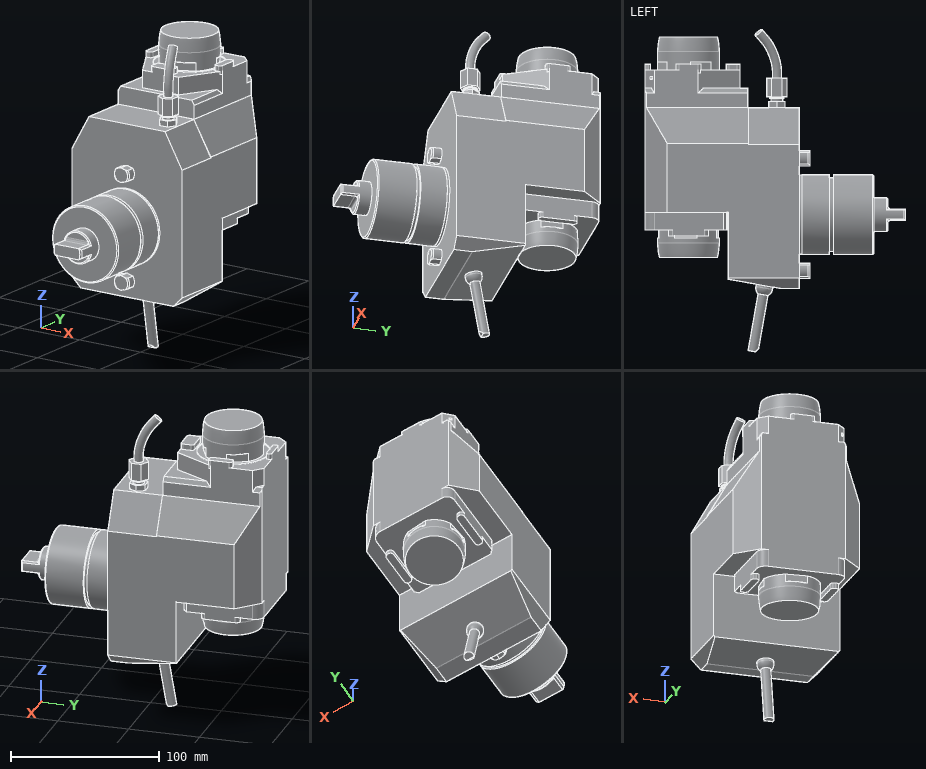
import cadquery as cq
import math


BODY_WIDTH = 90.0
BODY_LENGTH = 104.1
BODY_TOP = 72.2
ROOF_WIDTH = 62.2
BODY_SHOULDER = 48.0
BACK_CHAMFER = 15.0
PLATE_THICKNESS = 34.4
PLATE_SHOULDER = 47.5
PLATE_BOTTOM = -49.8
BOTTOM_CHAMFER = 7.2
STEP_Y = 48.0
STEP_Z = 1.5
TAPER_START_Y = 12.8
TAPER_ANGLE = 10

HEAD_Y = 74.8
SLAB_FRONT = 34.8
SLAB_TOP = 85.2
SLAB_BEVEL_WIDTH = 2.0
SLAB_BEVEL_HEIGHT = 3.3
BOSS_TOP = 97.6
BOSS_FRONT = 40.0
BOSS_FRONT_WIDTH = 29.5
BOSS_BACK_CHAMFER = 6.3
SEAT_DIA = 49.4
SEAT_DEPTH = 0.7
KEY_HEIGHT = 4.0
KEY_INNER = 25.5
KEY_WIDTH = 16.7
KEY_FILLET = 2.0
BACK_KEY_FILLET = 1.5
PORT_DIA = 2.2
PORT_DEPTH = 2.2
PORT_Z = 92.2
PORT_FROM_BACK = 4.1
COLLAR_DIA = 42.0
COLLAR_TIP_DIA = 39.1
COLLAR_TIP_LENGTH = 9.8
WRENCH_FLAT = 19.5
WRENCH_FLAT_HEIGHT = 5.2
UPPER_COLLAR_LENGTH = 22.2
UPPER_FLAT_ANGLE = 25
LOWER_BOTTOM = -10.5
LOWER_FRONT = 49.0
LOWER_FILLET = 6.3
LOWER_CHAMFER = 2.5
LOWER_KEY_WIDTH = 27.0
LOWER_KEY_FILLET = 2.6
LOWER_COLLAR_LENGTH = 18.5
LOWER_FLAT_ANGLE = 5

SPINDLE_DIA = 54.0
SPINDLE_LENGTH = 50.2
SPINDLE_NECK_DIA = 53.7
SPINDLE_NECK_LENGTH = 1.7
SPINDLE_CHAMFER = 0.9
GROOVE_DIA = 50.0
GROOVE_START = 20.2
GROOVE_WIDTH = 2.6
SHAFT_DIA = 23.0
SHAFT_END = 59.5
SHAFT_CHAMFER = 0.9
TANG_END = 71.5
TANG_THICKNESS = 7.8
TANG_CHAMFER = 1.0
TANG_SIDE_INSET = 2.2
TANG_ROOT_RADIUS = 2.0

STUD_DIA = 12.2
STUD_LENGTH = 7.2
STUD_SPACING = 37.95
STUD_RIDGE = 5.2
STUD_FACET_SLOPE = 0.29
STUD_CHAMFER_LENGTH = 1.3
STUD_CHAMFER_DEPTH = 0.7

HOSE_X = 23.3
HOSE_Y = 15.2
HOSE_DIA = 6.3
BASE_NUT_FLATS = 11.0
BASE_NUT_HEIGHT = 4.1
NECK_DIA = 8.0
RING_DIA = 9.8
RING_Z = 78.3
RING_HEIGHT = 0.7
TOP_NUT_FLATS = 12.0
TOP_NUT_BOTTOM = 79.4
TOP_NUT_TOP = 92.0
HOSE_STRAIGHT = 5.9
HOSE_BEND_RADIUS = 27.0
HOSE_BEND_ANGLE = 42
HOSE_TAIL = 9.3
HOSE_HEADING = 20

CABLE_Y = 23.5
CABLE_DIA = 7.0
CABLE_LENGTH = 45.0
CABLE_CUT = 1.7
CABLE_CUT_HEIGHT = 2.6
GLAND_DIA = 11.5
GLAND_DROP = 1.5

EMBED = 2.2


def box(x_range, y_range, z_range):
    size = [high - low for low, high in (x_range, y_range, z_range)]
    corner = (x_range[0], y_range[0], z_range[0])
    return cq.Workplane("XY").box(*size, centered=False).translate(corner)


def mirrored_outline(right_half):
    """Outline closed from its right half, listed from bottom to top."""
    return right_half + [(-x, y) for x, y in reversed(right_half)]


def taper_z(y):
    """Height of the tapered underside at depth y."""
    return PLATE_BOTTOM + (y - TAPER_START_Y) * math.tan(math.radians(TAPER_ANGLE))


def house_shape(shoulder, y_start, y_end):
    half = BODY_WIDTH / 2
    outline = mirrored_outline([
        (half - BOTTOM_CHAMFER, PLATE_BOTTOM),
        (half, PLATE_BOTTOM + BOTTOM_CHAMFER),
        (half, shoulder),
        (ROOF_WIDTH / 2, BODY_TOP),
    ])
    prism = cq.Workplane("XZ").polyline(outline).close().extrude(y_start - y_end)
    return prism.translate((0, y_start, 0))


def back_corner_profile(z_low, z_high):
    """Plan of the housing with its chamfered back corners."""
    half = BODY_WIDTH / 2
    outline = mirrored_outline([
        (half, 0),
        (half, BODY_LENGTH - BACK_CHAMFER),
        (half - BACK_CHAMFER, BODY_LENGTH),
    ])
    return cq.Workplane("XY").workplane(offset=z_low).polyline(outline).close().extrude(z_high - z_low)


def housing():
    plate = house_shape(PLATE_SHOULDER, 0, PLATE_THICKNESS)
    block = house_shape(BODY_SHOULDER, PLATE_THICKNESS, BODY_LENGTH)
    profile = back_corner_profile(PLATE_BOTTOM, BODY_TOP)
    side = [
        (0, BODY_TOP),
        (0, PLATE_BOTTOM),
        (TAPER_START_Y, PLATE_BOTTOM),
        (STEP_Y, taper_z(STEP_Y)),
        (STEP_Y, STEP_Z),
        (BODY_LENGTH, STEP_Z),
        (BODY_LENGTH, BODY_TOP),
    ]
    side_prism = cq.Workplane("YZ").polyline(side).close().extrude(BODY_WIDTH / 2, both=True)
    return plate.union(block).intersect(profile).intersect(side_prism)


def key(x_range, y_range, z_range, fillet):
    """Locating key with rounded upright edges."""
    return box(x_range, y_range, z_range).edges("|Z").fillet(fillet)


def side_keys(width, z_range, fillet):
    """Pair of keys left and right of the collar, flush with the head's sides."""
    y_range = (HEAD_Y - width / 2, HEAD_Y + width / 2)
    left = key((-ROOF_WIDTH / 2, -KEY_INNER), y_range, z_range, fillet)
    return left.union(left.mirror("YZ"))


def collar(length, flat_angle):
    """Collar on +Z with a curved tip and four wrench flats at its base."""
    radius = COLLAR_DIA / 2
    tip_radius = COLLAR_TIP_DIA / 2
    tip_start = length - COLLAR_TIP_LENGTH
    bulge = (radius - tip_radius) / 4
    body = (
        cq.Workplane("XZ")
        .moveTo(0, -EMBED)
        .lineTo(radius, -EMBED)
        .lineTo(radius, tip_start)
        .threePointArc((radius - bulge, tip_start + COLLAR_TIP_LENGTH / 2), (tip_radius, length))
        .lineTo(0, length)
        .close()
        .revolve(360, (0, 0, 0), (0, 1, 0))
    )
    for quarter in range(4):
        cutter = box((WRENCH_FLAT, COLLAR_DIA), (-radius, radius), (-EMBED, WRENCH_FLAT_HEIGHT))
        body = body.cut(cutter.rotate((0, 0, 0), (0, 0, 1), flat_angle + 90 * quarter))
    return body


def upper_head():
    half = ROOF_WIDTH / 2
    slab = (
        box((-half, half), (SLAB_FRONT, BODY_LENGTH), (BODY_TOP - EMBED, SLAB_TOP))
        .intersect(back_corner_profile(BODY_TOP - EMBED, SLAB_TOP))
    )
    bevel_base = SLAB_TOP - SLAB_BEVEL_HEIGHT
    bevel = mirrored_outline([
        (half, BODY_TOP - EMBED),
        (half, bevel_base),
        (half - SLAB_BEVEL_WIDTH, SLAB_TOP),
    ])
    slab = slab.intersect(cq.Workplane("XZ").polyline(bevel).close().extrude(-BODY_LENGTH))

    front_half = BOSS_FRONT_WIDTH / 2
    corner_y = BOSS_FRONT + (half - front_half) * math.tan(math.radians(60))
    outline = mirrored_outline([
        (front_half, BOSS_FRONT),
        (half, corner_y),
        (half, BODY_LENGTH - BOSS_BACK_CHAMFER),
        (half - BOSS_BACK_CHAMFER, BODY_LENGTH),
    ])
    boss = (
        cq.Workplane("XY").workplane(offset=bevel_base)
        .polyline(outline).close().extrude(BOSS_TOP - bevel_base)
    )
    seat = (
        cq.Workplane("XY").workplane(offset=BOSS_TOP - SEAT_DEPTH)
        .center(0, HEAD_Y).circle(SEAT_DIA / 2).extrude(SEAT_DEPTH)
    )
    port_plane = cq.Plane(
        origin=(-half + BOSS_BACK_CHAMFER - PORT_FROM_BACK, BODY_LENGTH - PORT_FROM_BACK, PORT_Z),
        xDir=(0, 0, 1),
        normal=(1, -1, 0),
    )
    port = cq.Workplane(port_plane).circle(PORT_DIA / 2).extrude(PORT_DEPTH)
    key_z = (BOSS_TOP - EMBED, BOSS_TOP + KEY_HEIGHT)
    key_x = (-KEY_WIDTH / 2, KEY_WIDTH / 2)
    keys = (
        side_keys(KEY_WIDTH, key_z, KEY_FILLET)
        .union(key(key_x, (BOSS_FRONT, HEAD_Y - KEY_INNER), key_z, KEY_FILLET))
        .union(key(key_x, (HEAD_Y + KEY_INNER, BODY_LENGTH), key_z, BACK_KEY_FILLET))
    )
    cap = collar(UPPER_COLLAR_LENGTH, UPPER_FLAT_ANGLE - 90).translate((0, HEAD_Y, BOSS_TOP))
    return slab.union(boss).union(keys).cut(seat).cut(port).union(cap)


def lower_head():
    half = ROOF_WIDTH / 2
    slab = (
        box((-half, half), (LOWER_FRONT, BODY_LENGTH), (LOWER_BOTTOM, STEP_Z))
        .edges("|Z and >Y").fillet(LOWER_FILLET)
        .edges("|Z and <Y").chamfer(LOWER_CHAMFER)
    )
    key_z = (LOWER_BOTTOM - KEY_HEIGHT, LOWER_BOTTOM + EMBED)
    keys = side_keys(LOWER_KEY_WIDTH, key_z, LOWER_KEY_FILLET)
    cap = (
        collar(LOWER_COLLAR_LENGTH, LOWER_FLAT_ANGLE)
        .rotate((0, 0, 0), (1, 0, 0), 180)
        .translate((0, HEAD_Y, LOWER_BOTTOM))
    )
    return slab.union(keys).union(cap)


def rod(diameter, start, end):
    """Round bar along the spindle axis, distances measured out from the front face."""
    return cq.Workplane("XZ").workplane(offset=start).circle(diameter / 2).extrude(end - start)


def spindle():
    barrel = rod(SPINDLE_DIA, SPINDLE_NECK_LENGTH, SPINDLE_LENGTH).faces("<Y").chamfer(SPINDLE_CHAMFER)
    groove_end = GROOVE_START + GROOVE_WIDTH
    barrel = barrel.cut(
        rod(SPINDLE_DIA, GROOVE_START, groove_end).cut(rod(GROOVE_DIA, GROOVE_START, groove_end))
    )
    neck = rod(SPINDLE_NECK_DIA, -EMBED, SPINDLE_NECK_LENGTH)
    shaft = rod(SHAFT_DIA, SPINDLE_LENGTH - EMBED, SHAFT_END).faces("<Y").chamfer(SHAFT_CHAMFER)
    return barrel.union(neck).union(shaft).union(tang())


def tang():
    """Flat drive tongue with bevelled edges and a filleted root."""
    half = TANG_THICKNESS / 2
    flat_half = SHAFT_DIA / 2 - TANG_SIDE_INSET
    outline = mirrored_outline([
        (flat_half, -half),
        (SHAFT_DIA / 2, -half + TANG_CHAMFER),
        (SHAFT_DIA / 2, half - TANG_CHAMFER),
        (flat_half, half),
    ])
    tongue = (
        cq.Workplane("XZ").workplane(offset=SHAFT_END - EMBED)
        .polyline(outline).close().extrude(TANG_END - SHAFT_END + EMBED)
        .intersect(rod(SHAFT_DIA, 0, TANG_END).faces("<Y").chamfer(TANG_CHAMFER))
    )
    radius = TANG_ROOT_RADIUS
    root = (
        cq.Workplane("YZ")
        .moveTo(-SHAFT_END, -half - radius)
        .radiusArc((-SHAFT_END - radius, -half), -radius)
        .lineTo(-SHAFT_END - radius, half)
        .radiusArc((-SHAFT_END, half + radius), -radius)
        .close()
        .extrude(flat_half, both=True)
        .intersect(rod(SHAFT_DIA, 0, TANG_END))
    )
    return tongue.union(root)


def stud(z):
    """Round stud whose upper and lower sides are planed to a shallow ridge."""
    radius = STUD_DIA / 2
    pin = rod(STUD_DIA, -EMBED, STUD_LENGTH).faces("<Y").chamfer(STUD_CHAMFER_LENGTH, STUD_CHAMFER_DEPTH)
    edge_z = STUD_RIDGE - STUD_FACET_SLOPE * radius
    roof = [
        (0, -STUD_RIDGE),
        (radius, -edge_z),
        (radius, edge_z),
        (0, STUD_RIDGE),
        (-radius, edge_z),
        (-radius, -edge_z),
    ]
    ridged = (
        cq.Workplane("XZ").workplane(offset=-EMBED)
        .polyline(roof).close().extrude(STUD_LENGTH + EMBED)
    )
    return pin.intersect(ridged).translate((0, 0, z))


def hex_nut(flats, z_low, z_high, turn):
    corner_dia = flats / math.cos(math.radians(30))
    nut = cq.Workplane("XY").polygon(6, corner_dia).extrude(z_high - z_low)
    return nut.rotate((0, 0, 0), (0, 0, 1), turn).translate((HOSE_X, HOSE_Y, z_low))


def upright(diameter, z_low, z_high):
    disc = cq.Workplane("XY").workplane(offset=z_low).center(HOSE_X, HOSE_Y)
    return disc.circle(diameter / 2).extrude(z_high - z_low)


def hose():
    base_nut = hex_nut(BASE_NUT_FLATS, BODY_TOP - EMBED, BODY_TOP + BASE_NUT_HEIGHT, 0)
    neck = upright(NECK_DIA, BODY_TOP, TOP_NUT_TOP - EMBED)
    ring = upright(RING_DIA, RING_Z, RING_Z + RING_HEIGHT)
    top_nut = hex_nut(TOP_NUT_FLATS, TOP_NUT_BOTTOM, TOP_NUT_TOP, 30)

    heading = math.radians(HOSE_HEADING)
    lean = (-math.sin(heading), math.cos(heading), 0)
    start = (HOSE_X, HOSE_Y, TOP_NUT_TOP - EMBED)
    plane = cq.Plane(origin=start, xDir=lean, normal=(lean[1], -lean[0], 0))
    bend = math.radians(HOSE_BEND_ANGLE)
    bend_start = (0, EMBED + HOSE_STRAIGHT)
    bend_end = (
        HOSE_BEND_RADIUS * (1 - math.cos(bend)),
        bend_start[1] + HOSE_BEND_RADIUS * math.sin(bend),
    )
    tail_direction = (math.sin(bend), math.cos(bend))
    tail_end = (
        bend_end[0] + HOSE_TAIL * tail_direction[0],
        bend_end[1] + HOSE_TAIL * tail_direction[1],
    )
    path = cq.Workplane(plane).spline(
        [(0, 0), bend_start, bend_end, tail_end],
        tangents=[(0, 1), tail_direction],
    )
    tube = cq.Workplane("XY", origin=start).circle(HOSE_DIA / 2).sweep(path)
    return base_nut.union(neck).union(ring).union(top_nut).union(tube)


def cable():
    """Cable square to the tapered underside, with a round gland; built hanging straight down."""
    dome = cq.Workplane("XY").sphere(GLAND_DIA / 2).translate((0, 0, -GLAND_DROP))
    collar_ring = cq.Workplane("XY").circle(GLAND_DIA / 2).extrude(-GLAND_DROP)
    gland = dome.union(collar_ring)
    wire = cq.Workplane("XY").circle(CABLE_DIA / 2).extrude(-CABLE_LENGTH)
    corner = [
        (-CABLE_CUT, -CABLE_LENGTH),
        (-CABLE_DIA / 2, -CABLE_LENGTH + CABLE_CUT_HEIGHT),
        (-CABLE_DIA / 2, -CABLE_LENGTH),
    ]
    wire = wire.cut(cq.Workplane("YZ").polyline(corner).close().extrude(CABLE_DIA, both=True))
    return (
        gland.union(wire)
        .rotate((0, 0, 0), (1, 0, 0), TAPER_ANGLE)
        .translate((0, CABLE_Y, taper_z(CABLE_Y)))
    )


result = housing()
for feature in (upper_head(), lower_head(), spindle(), hose(), cable()):
    result = result.union(feature)
for stud_z in (STUD_SPACING, -STUD_SPACING):
    result = result.union(stud(stud_z))